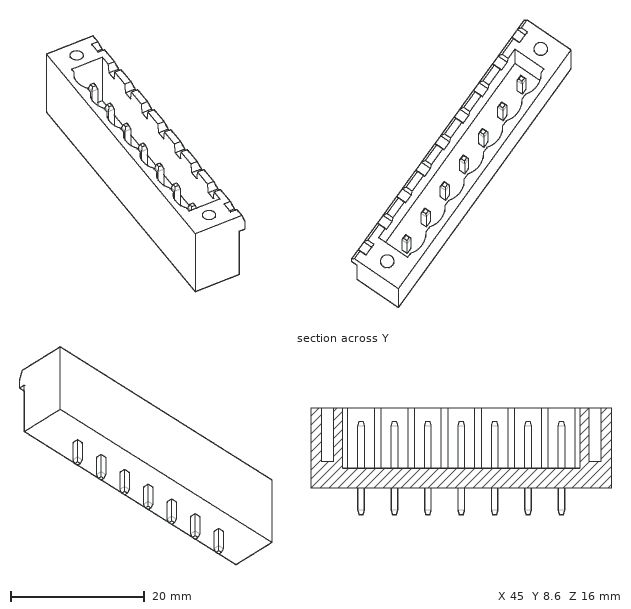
import cadquery as cq
import math

PIN_COUNT = 7
PITCH = 5.0
PIN_SIZE = 1.0
PIN_TIP_SIZE = 0.6
PIN_TIP_LENGTH = 0.7
PIN_TAIL = 4.0
PIN_TOP = 10.0

LENGTH = 45.0
BODY_DEPTH = 7.6
HEIGHT = 12.0
FRONT_Y = -BODY_DEPTH / 2
BODY_BACK_Y = BODY_DEPTH / 2

LIP_OVERHANG = 1.0
LIP_HEIGHT = 3.1
LIP_CHAMFER_DEPTH = 0.55
LIP_CHAMFER_HEIGHT = 1.5
LIP_BACK_Y = BODY_BACK_Y + LIP_OVERHANG

CAVITY_LENGTH = 35.5
CAVITY_FLOOR = 3.0
BACK_WALL = 1.65
FRONT_WALL = 1.65
CAVITY_BACK_Y = LIP_BACK_Y - BACK_WALL
CAVITY_FRONT_Y = FRONT_Y + FRONT_WALL

SCALLOP_WIDTH = 4.0
SCALLOP_DEPTH = 0.68

NOTCH_TOP_WIDTH = 2.0
NOTCH_FLOOR_WIDTH = 1.5
NOTCH_DEPTH = 1.6

HOLE_DIAMETER = 2.0
HOLE_DEPTH = 8.0
HOLE_SPACING = (PIN_COUNT + 1) * PITCH

PIN_XS = [(i - (PIN_COUNT - 1) / 2) * PITCH for i in range(PIN_COUNT)]
HOLE_XS = [-HOLE_SPACING / 2, HOLE_SPACING / 2]


def make_housing():
    """Side profile with the overhanging lip, extruded along the length."""
    profile = [
        (FRONT_Y, 0),
        (BODY_BACK_Y, 0),
        (BODY_BACK_Y, HEIGHT - LIP_HEIGHT),
        (LIP_BACK_Y, HEIGHT - LIP_HEIGHT),
        (LIP_BACK_Y, HEIGHT - LIP_CHAMFER_HEIGHT),
        (LIP_BACK_Y - LIP_CHAMFER_DEPTH, HEIGHT),
        (FRONT_Y, HEIGHT),
    ]
    return cq.Workplane("YZ").polyline(profile).close().extrude(LENGTH / 2, both=True)


def make_cavity():
    """Open-topped pocket whose front wall is scalloped at each contact."""
    half_length = CAVITY_LENGTH / 2
    half_scallop = SCALLOP_WIDTH / 2
    outline = (
        cq.Workplane("XY", origin=(0, 0, CAVITY_FLOOR))
        .moveTo(-half_length, CAVITY_BACK_Y)
        .lineTo(-half_length, CAVITY_FRONT_Y)
    )
    for x in PIN_XS:
        outline = outline.lineTo(x - half_scallop, CAVITY_FRONT_Y).threePointArc(
            (x, CAVITY_FRONT_Y - SCALLOP_DEPTH),
            (x + half_scallop, CAVITY_FRONT_Y),
        )
    outline = outline.lineTo(half_length, CAVITY_FRONT_Y).lineTo(half_length, CAVITY_BACK_Y)
    return outline.close().extrude(HEIGHT - CAVITY_FLOOR)


def make_notch(x):
    """Tapered notch from the cavity's back plane out through the lip."""
    profile = [
        (x - NOTCH_TOP_WIDTH / 2, HEIGHT),
        (x - NOTCH_FLOOR_WIDTH / 2, HEIGHT - NOTCH_DEPTH),
        (x + NOTCH_FLOOR_WIDTH / 2, HEIGHT - NOTCH_DEPTH),
        (x + NOTCH_TOP_WIDTH / 2, HEIGHT),
    ]
    return cq.Workplane("XZ", origin=(0, LIP_BACK_Y, 0)).polyline(profile).close().extrude(BACK_WALL)


def make_pin(x):
    """Square contact with a tapered tip at each end."""
    shank_bottom = PIN_TIP_LENGTH - PIN_TAIL
    shank_top = PIN_TOP - PIN_TIP_LENGTH
    taper = math.degrees(math.atan2((PIN_SIZE - PIN_TIP_SIZE) / 2, PIN_TIP_LENGTH))

    def section(z):
        return cq.Workplane("XY", origin=(x, 0, z)).rect(PIN_SIZE, PIN_SIZE)

    shank = section(shank_bottom).extrude(shank_top - shank_bottom)
    upper_tip = section(shank_top).extrude(PIN_TIP_LENGTH, taper=taper)
    lower_tip = section(shank_bottom).extrude(-PIN_TIP_LENGTH, taper=taper)
    return shank.union(upper_tip).union(lower_tip)


def make_screw_holes():
    """Blind holes from the top of both end flanges."""
    return (
        cq.Workplane("XY", origin=(0, 0, HEIGHT - HOLE_DEPTH))
        .pushPoints([(x, 0) for x in HOLE_XS])
        .circle(HOLE_DIAMETER / 2)
        .extrude(HOLE_DEPTH)
    )


result = make_housing().cut(make_cavity()).cut(make_screw_holes())
for notch_x in PIN_XS + HOLE_XS:
    result = result.cut(make_notch(notch_x))
for pin_x in PIN_XS:
    result = result.union(make_pin(pin_x))